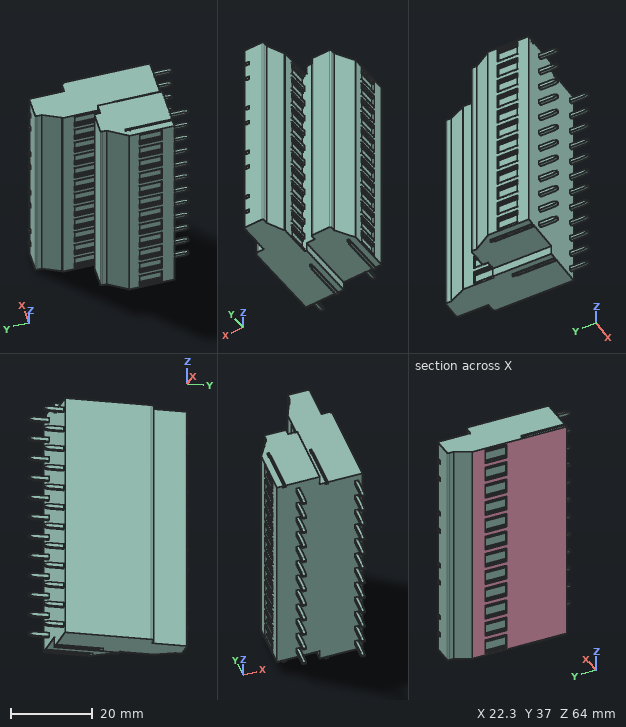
import cadquery as cq


pole_count = 12
poles_per_module = 3
block_length = 61.0
pitch = block_length / pole_count

rail_height = 0.5
tier_offset = 2.55
upper_base = rail_height
lower_base = upper_base + tier_offset

depth = 22.3
split_x = depth / 2
ledge_height = 16.5
corner_radius = 0.4
slope_toe = 0.2

lower_front_height = 11.6
lower_cap_left = 3.1
lower_cap_right = 8.8
lower_top = 18.0

upper_face_x = 11.65
upper_front_height = 25.2
upper_cap_left = 14.0
upper_cap_right = 19.7
upper_shoulder = 29.9
upper_top = 31.55
back_step_height = 22.6
back_radius = 1.0

window_width = 5.7
window_length = 3.7
window_depth = 0.5
window_strip = 0.5
panel_depth = 0.25
lower_window_y = 3.2
upper_window_y = ledge_height

pin_width = 0.9
pin_thickness = 1.0
pin_length = 5.0
pin_tip_length = 1.1
pin_tip_thickness = 0.4
pin_root = 0.65
lower_pin_x = 5.45
upper_pin_x = 20.7

rail_neck = 0.4
rail_head = 0.85
rail_lip = 0.2
rail_length = 11.9
rail_key_length = 1.0
lower_rail_x = 2.0
upper_rail_x = 13.0

ridge_width = 0.9
ridge_height = 0.45
ridge_x = 18.45


def box(x, y, z, size_x, size_y, size_z):
    """Box with its minimum corner at (x, y, z)."""
    return cq.Workplane("XY").box(size_x, size_y, size_z, centered=False).translate((x, y, z))


def pole_centres(base):
    return [base + (index + 0.5) * pitch for index in range(pole_count)]


def round_corner(body, x, y, radius):
    """Round the edge along Z that passes through (x, y)."""
    reach = 0.05
    selector = cq.selectors.BoxSelector((x - reach, y - reach, 0), (x + reach, y + reach, 2 * block_length))
    return body.edges("|Z").edges(selector).fillet(radius)


def lower_tier():
    outline = [
        (0, 0),
        (0, lower_front_height),
        (slope_toe, lower_front_height + slope_toe),
        (lower_cap_left, ledge_height),
        (lower_cap_left, lower_top),
        (lower_cap_right, lower_top),
        (lower_cap_right, ledge_height),
        (split_x, ledge_height),
        (split_x, 0),
    ]
    body = cq.Workplane("XY").workplane(offset=lower_base).polyline(outline).close().extrude(block_length)
    for x in (lower_cap_left, lower_cap_right):
        body = round_corner(body, x, lower_top, corner_radius)
    return body


def upper_tier():
    outline = [
        (split_x, 0),
        (split_x, ledge_height),
        (upper_face_x, ledge_height),
        (upper_face_x, upper_front_height),
        (upper_face_x + slope_toe, upper_front_height + slope_toe),
        (upper_cap_left, upper_shoulder),
        (upper_cap_left, upper_top),
        (upper_cap_right, upper_top),
        (upper_cap_right, back_step_height),
        (depth, back_step_height),
        (depth, 0),
    ]
    body = cq.Workplane("XY").workplane(offset=upper_base).polyline(outline).close().extrude(block_length)
    for x in (upper_cap_left, upper_cap_right):
        body = round_corner(body, x, upper_top, corner_radius)
    return round_corner(body, depth, back_step_height, back_radius)


def window(face_x, y, z):
    """Shallow window with a slightly deeper panel between its two end strips."""
    recess = box(face_x, y, z - window_length / 2, window_depth, window_width, window_length)
    panel_length = window_length - 2 * window_strip
    panel = box(face_x, y, z - panel_length / 2, window_depth + panel_depth, window_width, panel_length)
    return recess.union(panel)


def pin(x, z):
    """Straight pin whose tip tapers along Z."""
    half = pin_thickness / 2
    half_tip = pin_tip_thickness / 2
    taper_start = pin_tip_length - pin_length
    outline = [
        (pin_root, -half),
        (taper_start, -half),
        (-pin_length, -half_tip),
        (-pin_length, half_tip),
        (taper_start, half),
        (pin_root, half),
    ]
    blade = cq.Workplane("YZ").polyline(outline).close().extrude(pin_width)
    return blade.translate((x - pin_width / 2, 0, z))


def rail(x, face_z):
    """Dovetail hanging below face_z, ending in a straight key as wide as its neck."""
    section = [
        (x - rail_neck / 2, face_z),
        (x + rail_neck / 2, face_z),
        (x + rail_head / 2, face_z - rail_height + rail_lip),
        (x + rail_head / 2, face_z - rail_height),
        (x - rail_head / 2, face_z - rail_height),
        (x - rail_head / 2, face_z - rail_height + rail_lip),
    ]
    dovetail = cq.Workplane("XZ").polyline(section).close().extrude(rail_key_length - rail_length)
    key = box(x - rail_neck / 2, 0, face_z - rail_height, rail_neck, rail_length, rail_height)
    return dovetail.union(key)


def marker_ridge(z):
    """Triangular ridge running along X on the upper tier's top face."""
    section = [
        (upper_top, z - ridge_width / 2),
        (upper_top + ridge_height, z),
        (upper_top, z + ridge_width / 2),
    ]
    ridge = cq.Workplane("YZ").polyline(section).close().extrude(ridge_width)
    return ridge.translate((ridge_x - ridge_width / 2, 0, 0))


result = lower_tier().union(upper_tier())

for face_x, window_y, pin_x, base in (
    (0, lower_window_y, lower_pin_x, lower_base),
    (upper_face_x, upper_window_y, upper_pin_x, upper_base),
):
    for z in pole_centres(base):
        result = result.cut(window(face_x, window_y, z))
        result = result.union(pin(pin_x, z))

for rail_x, base in ((lower_rail_x, lower_base), (upper_rail_x, upper_base)):
    result = result.union(rail(rail_x, base))
    result = result.cut(rail(rail_x, base + block_length))

for joint in range(1, pole_count):
    if joint % poles_per_module:
        result = result.union(marker_ridge(upper_base + joint * pitch))